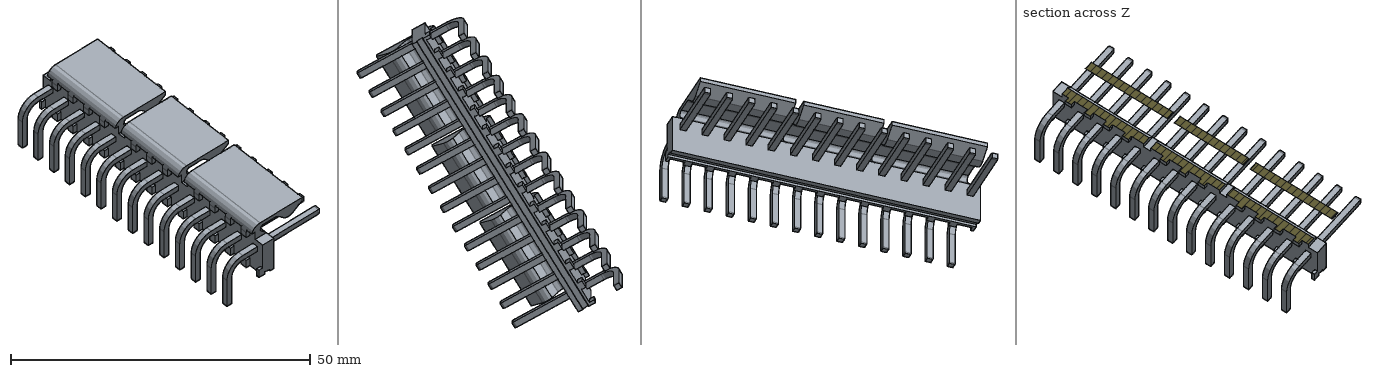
import cadquery as cq
import math

body_length = 55.3
wall_thickness = 2.5
wall_height = 6.95

pin_count = 14
end_pin_inset = 1.9
pitch = (body_length - 2 * end_pin_inset) / (pin_count - 1)
first_pin_x = -body_length / 2 + end_pin_inset

pin_width = 1.1
pin_top_z = 5.7
pin_front_y = -6.8
pin_back_y = 13.95
pin_bottom_z = -3.9
bend_outer_radius = 3.55
bend_inner_radius = bend_outer_radius - pin_width
back_tip_length = 0.35
bottom_tip_length = 0.2
tip_inset = 0.05

peg_width = 1.3
peg_depth = 0.85
lower_peg_height = 1.7
upper_peg_top_z = 8.6

gap_width = 1.45
pins_before_gaps = (5, 9)
flap_top_z = 10.05
flap_back_y = 10.5
flap_corner_radius = 1.95
flap_underside_z = 9.3
flap_bend_y = 1.1

catch_back_point = (8.3, 7.8)
catch_lowest_point = (7.4, 7.6)
catch_front_point = (6.45, 7.8)

blend_start_point = (5.3, 8.9)
blend_middle_point = (4.85, 9.2)
blend_end_y = 4.3

inner_corner_start_y = 1.7
inner_corner_middle_point = (1.15, 8.7)
inner_corner_end_point = (1.4, 8.0)

groove_front_y = 0.5
groove_back_y = 1.6
groove_front_depth = 0.5
groove_back_depth = 0.3


def between_pins_x(pins_before):
    """X of the midpoint that follows the given number of pins."""
    return first_pin_x + (pins_before - 0.5) * pitch


def extrude_along_x(profile, start_x, end_x):
    """Extrude a closed YZ profile from start_x to end_x."""
    return profile.extrude(end_x - start_x).translate((start_x, 0, 0))


def box_between(x_range, y_range, z_range):
    """Box given by its limits along each axis."""
    corners = list(zip(x_range, y_range, z_range))
    sizes = [high - low for low, high in zip(*corners)]
    return cq.Workplane("XY").box(*sizes, centered=False).translate(corners[0])


def make_wall():
    """Upright wall with a shallow sloped groove along its underside."""
    profile = (
        cq.Workplane("YZ")
        .polyline([
            (0, 0),
            (groove_front_y, 0),
            (groove_front_y, groove_front_depth),
            (groove_back_y, groove_back_depth),
            (groove_back_y, 0),
            (wall_thickness, 0),
            (wall_thickness, wall_height),
            (0, wall_height),
        ])
        .close()
    )
    return extrude_along_x(profile, -body_length / 2, body_length / 2)


def make_flap(start_x, end_x):
    """Springy flap: a neck rising from the wall, a flat arm and a rounded catch under its end."""
    corner_center_z = flap_top_z - flap_corner_radius
    corner_front_y = flap_bend_y - flap_corner_radius
    profile = (
        cq.Workplane("YZ")
        .moveTo(corner_front_y, wall_height)
        .lineTo(corner_front_y, corner_center_z)
        .radiusArc((flap_bend_y, flap_top_z), flap_corner_radius)
        .lineTo(flap_back_y, flap_top_z)
        .lineTo(flap_back_y, flap_underside_z)
        .lineTo(*catch_back_point)
        .threePointArc(catch_lowest_point, catch_front_point)
        .lineTo(*blend_start_point)
        .threePointArc(blend_middle_point, (blend_end_y, flap_underside_z))
        .lineTo(inner_corner_start_y, flap_underside_z)
        .threePointArc(inner_corner_middle_point, inner_corner_end_point)
        .lineTo(wall_thickness, wall_height)
        .close()
    )
    return extrude_along_x(profile, start_x, end_x)


def make_recess(start_x, end_x):
    """Space in front of the flap neck, between two neighbouring upper pegs."""
    return box_between((start_x, end_x), (-peg_depth, 0), (wall_height, upper_peg_top_z))


def add_tip(pin, end_face, length):
    """Extend an end face of the pin with a slightly tapered tip."""
    taper_angle = math.degrees(math.atan2(tip_inset, length))
    return pin.faces(end_face).wires().toPending().workplane().extrude(length, taper=taper_angle)


def make_pin(x):
    """Square pin running forward through the wall, then bending down."""
    square_back_y = pin_back_y - back_tip_length
    square_bottom_z = pin_bottom_z + bottom_tip_length
    straight_y = pin_front_y + bend_outer_radius
    straight_z = pin_top_z - bend_outer_radius
    profile = (
        cq.Workplane("YZ")
        .moveTo(square_back_y, pin_top_z)
        .lineTo(straight_y, pin_top_z)
        .radiusArc((pin_front_y, straight_z), -bend_outer_radius)
        .lineTo(pin_front_y, square_bottom_z)
        .lineTo(pin_front_y + pin_width, square_bottom_z)
        .lineTo(pin_front_y + pin_width, straight_z)
        .radiusArc((straight_y, pin_top_z - pin_width), bend_inner_radius)
        .lineTo(square_back_y, pin_top_z - pin_width)
        .close()
    )
    pin = extrude_along_x(profile, x - pin_width / 2, x + pin_width / 2)
    pin = add_tip(pin, ">Y", back_tip_length)
    return add_tip(pin, "<Z", bottom_tip_length)


left_edges = [first_pin_x] + [between_pins_x(n) + gap_width / 2 for n in pins_before_gaps]
right_edges = [between_pins_x(n) - gap_width / 2 for n in pins_before_gaps] + [-first_pin_x]

body = make_wall()
for start_x, end_x in zip(left_edges, right_edges):
    body = body.union(make_flap(start_x, end_x))

for n in range(pin_count):
    x = first_pin_x + n * pitch
    half_recess = (pitch - peg_width) / 2
    body = body.cut(make_recess(x - half_recess, x + half_recess))

for n in range(pin_count + 1):
    x = between_pins_x(n)
    start_x = max(x - peg_width / 2, -body_length / 2)
    end_x = min(x + peg_width / 2, body_length / 2)
    body = body.union(box_between((start_x, end_x), (-peg_depth, 0), (0, lower_peg_height)))

for n in range(pin_count):
    body = body.union(make_pin(first_pin_x + n * pitch))

result = body